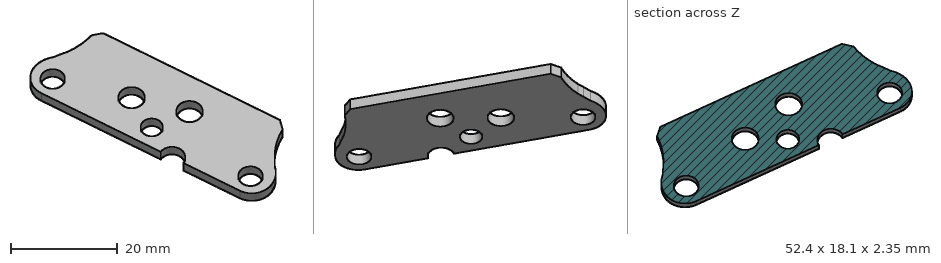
import cadquery as cq
import math

length = 52.35
width = 18.15
thickness = 2.35
half_length = length / 2

chamfer = 1.55
neck_half_width = 21.05
neck_y = width - chamfer
waist_middle = (21.6, 13.9)
waist_end = (22.75, 11.05)
flank_bend = (23.45, 9.95)
lobe_start_y = 8.4
lobe_upper_radius = 5.55
corner_radius = 4.35

mount_diameter = 4.6
mount_x = 21.8
mount_y = 4.0
large_diameter = 5.0
large_centers = [(-6.9, 8.0), (4.05, 10.95)]
small_diameter = 4.2
small_center = (0, 4.05)
notch_center = (6.95, 0)


def lobe_point(radius, height):
    """Point on an arc that touches the plate's end at the corner radius height."""
    rise = height - corner_radius
    return (half_length - radius + math.sqrt(radius**2 - rise**2), height)


def side_outline(outline, side):
    """Draw one end from the lower edge up to the top edge; side is +1 or -1."""

    def place(point):
        return (side * point[0], point[1])

    corner_middle_y = corner_radius * (1 - math.sin(math.pi / 4))
    upper_middle_y = (corner_radius + lobe_start_y) / 2
    return (
        outline
        .lineTo(side * (half_length - corner_radius), 0)
        .threePointArc(
            place(lobe_point(corner_radius, corner_middle_y)),
            (side * half_length, corner_radius),
        )
        .threePointArc(
            place(lobe_point(lobe_upper_radius, upper_middle_y)),
            place(lobe_point(lobe_upper_radius, lobe_start_y)),
        )
        .lineTo(*place(flank_bend))
        .lineTo(*place(waist_end))
        .threePointArc(place(waist_middle), (side * neck_half_width, neck_y))
        .lineTo(side * (neck_half_width - chamfer), width)
        .lineTo(0, width)
    )


def half_plate(side):
    return side_outline(cq.Workplane("XY").moveTo(0, 0), side).close().extrude(thickness)


def drill(centers, diameter):
    """Cylinders through the plate's full thickness."""
    return cq.Workplane("XY").pushPoints(centers).circle(diameter / 2).extrude(thickness)


plate = half_plate(-1).union(half_plate(1)).clean()

result = (
    plate
    .cut(drill([(-mount_x, mount_y), (mount_x, mount_y)], mount_diameter))
    .cut(drill(large_centers + [notch_center], large_diameter))
    .cut(drill([small_center], small_diameter))
)